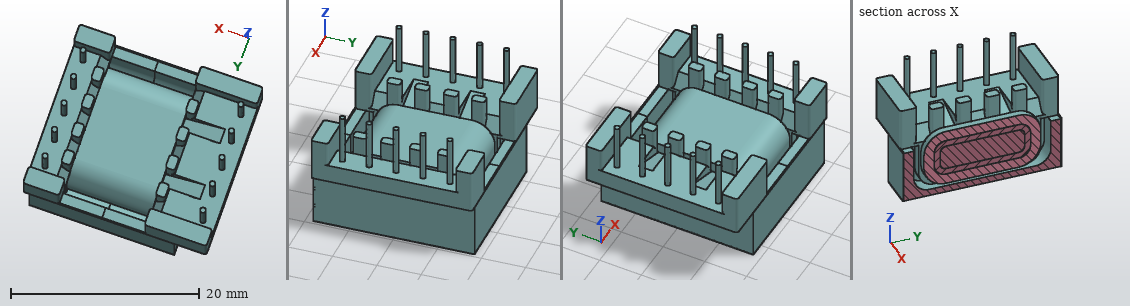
import cadquery as cq


TOTAL_HEIGHT = 13.68
HALF_WIDTH = 9.11
CORE_HEIGHT = 6.07

TAPE_THICKNESS = 0.15
TAPE_HALF_LENGTH = 8.16
CAVITY_HALF_WIDTH = 7.83
CAVITY_FLOOR = 0.83
CAVITY_RADIUS = 1.75
CORE_HALF_LENGTH = TAPE_HALF_LENGTH - TAPE_THICKNESS
CORE_HALF_WIDTH = HALF_WIDTH - TAPE_THICKNESS

WINDING_HALF_LENGTH = 4.8
WINDING_HALF_WIDTH = 6.74
WINDING_TOP = 7.69
WINDING_RADIUS = 2.58
WINDING_THICKNESS = 1.24
TUBE_WALL = 0.62
FLANGE_OVERHANG = 0.25
WINDING_BOTTOM = CAVITY_FLOOR + FLANGE_OVERHANG
TUBE_INSET = WINDING_THICKNESS
POST_INSET = WINDING_THICKNESS + TUBE_WALL

BOBBIN_LEFT = -11.78
BOBBIN_RIGHT = 8.88
FLANGE_HALF_LENGTH = 5.85
PLATFORM_TOP = 8.12
CORNER_RADIUS = 0.3
WALL_TOP = 10.9
WALL_INNER_Y = 7.2
TOOTH_TOP = 10.27
TOOTH_WIDTH = 1.5
TOOTH_INNER_Y = 1.63
TOOTH_OUTER_Y = 4.77
SLOPE_DROP = 1.65
RAMP_START = 9.28
PIN_DIAMETER = 0.6
PIN_PITCH = 3.04
PINS_PER_ROW = 5
PIN_END_DISTANCE = 1.45


def block(x_ends, y_ends, z_ends):
    """Box between two values along each axis."""
    size = [abs(ends[1] - ends[0]) for ends in (x_ends, y_ends, z_ends)]
    corner = (min(x_ends), min(y_ends), min(z_ends))
    return cq.Workplane("XY").box(*size, centered=False).translate(corner)


def rounded_block(x_ends, y_ends, z_ends):
    """Box with rounded upright edges."""
    return block(x_ends, y_ends, z_ends).edges("|Z").fillet(CORNER_RADIUS)


def coil_section(inset, half_length):
    """Rounded bar along X: the winding outline moved inwards by the inset."""
    bar = block(
        (-half_length, half_length),
        (-WINDING_HALF_WIDTH + inset, WINDING_HALF_WIDTH - inset),
        (WINDING_BOTTOM + inset, WINDING_TOP - inset),
    )
    return bar.edges("|X").fillet(WINDING_RADIUS - inset)


def sloped_cut(side, start_x, y_ends):
    """Wedge that lowers the platform from start_x down to the edge at the winding."""
    profile = [
        (side * start_x, PLATFORM_TOP),
        (side * WINDING_HALF_LENGTH, PLATFORM_TOP),
        (side * WINDING_HALF_LENGTH, PLATFORM_TOP - SLOPE_DROP),
    ]
    wedge = cq.Workplane("XZ").polyline(profile).close().extrude(y_ends[0] - y_ends[1])
    return wedge.translate((0, y_ends[0], 0))


def make_tape():
    outer = cq.Workplane("XY").rect(2 * TAPE_HALF_LENGTH, 2 * HALF_WIDTH)
    return outer.rect(2 * CORE_HALF_LENGTH, 2 * CORE_HALF_WIDTH).extrude(CORE_HEIGHT)


def make_core_half(side):
    body = block((0, side * CORE_HALF_LENGTH), (-CORE_HALF_WIDTH, CORE_HALF_WIDTH), (0, CORE_HEIGHT))
    cavity = block(
        (-FLANGE_HALF_LENGTH, FLANGE_HALF_LENGTH),
        (-CAVITY_HALF_WIDTH, CAVITY_HALF_WIDTH),
        (CAVITY_FLOOR, CORE_HEIGHT),
    )
    cavity = cavity.edges("|X and <Z").fillet(CAVITY_RADIUS)
    return body.cut(cavity.cut(coil_section(POST_INSET, FLANGE_HALF_LENGTH)))


def make_winding():
    outside = coil_section(0, WINDING_HALF_LENGTH)
    return outside.cut(coil_section(TUBE_INSET, WINDING_HALF_LENGTH))


def make_flange(side):
    x_ends = (side * WINDING_HALF_LENGTH, side * FLANGE_HALF_LENGTH)
    half_width = WINDING_HALF_WIDTH + FLANGE_OVERHANG
    flange = block(x_ends, (-half_width, half_width), (CAVITY_FLOOR, CORE_HEIGHT))
    return flange.edges("|X and <Z").fillet(CAVITY_RADIUS)


def make_platform(side, outer_x):
    x_ends = (side * WINDING_HALF_LENGTH, outer_x)
    platform = rounded_block(x_ends, (-HALF_WIDTH, HALF_WIDTH), (CORE_HEIGHT, PLATFORM_TOP))
    slope_end = WALL_INNER_Y + CORNER_RADIUS
    platform = platform.cut(sloped_cut(side, FLANGE_HALF_LENGTH, (-slope_end, slope_end)))
    if side < 0:
        platform = cut_wire_ramps(platform)
    for end in (-1, 1):
        wall_y = (end * WALL_INNER_Y, end * HALF_WIDTH)
        platform = platform.union(rounded_block(x_ends, wall_y, (CORE_HEIGHT, WALL_TOP)))
    tooth_x = (side * WINDING_HALF_LENGTH, side * FLANGE_HALF_LENGTH)
    for y in (-TOOTH_OUTER_Y, -TOOTH_INNER_Y, TOOTH_INNER_Y, TOOTH_OUTER_Y):
        tooth_y = (y - TOOTH_WIDTH / 2, y + TOOTH_WIDTH / 2)
        platform = platform.union(rounded_block(tooth_x, tooth_y, (CORE_HEIGHT, TOOTH_TOP)))
    return platform


def cut_wire_ramps(platform):
    inner_y = TOOTH_INNER_Y + TOOTH_WIDTH / 2
    outer_y = TOOTH_OUTER_Y - TOOTH_WIDTH / 2
    for y_ends in ((-outer_y, -inner_y), (inner_y, outer_y)):
        platform = platform.cut(sloped_cut(-1, RAMP_START, y_ends))
    return platform


def make_pins():
    row_x = (BOBBIN_LEFT + PIN_END_DISTANCE, BOBBIN_RIGHT - PIN_END_DISTANCE)
    row_y = [PIN_PITCH * (i - (PINS_PER_ROW - 1) / 2) for i in range(PINS_PER_ROW)]
    places = [(x, y) for x in row_x for y in row_y]
    base = cq.Workplane("XY", origin=(0, 0, CORE_HEIGHT)).pushPoints(places)
    return base.circle(PIN_DIAMETER / 2).extrude(TOTAL_HEIGHT - CORE_HEIGHT)


def make_bobbin():
    bobbin = coil_section(TUBE_INSET, WINDING_HALF_LENGTH)
    for side, outer_x in ((-1, BOBBIN_LEFT), (1, BOBBIN_RIGHT)):
        bobbin = bobbin.union(make_flange(side)).union(make_platform(side, outer_x))
    return bobbin.union(make_pins()).cut(coil_section(POST_INSET, FLANGE_HALF_LENGTH))


tape = make_tape()
core_halves = [make_core_half(side) for side in (-1, 1)]
winding = make_winding()
bobbin = make_bobbin()

result = cq.Compound.makeCompound(
    [body.solids().val() for body in (tape, *core_halves, winding, bobbin)]
)